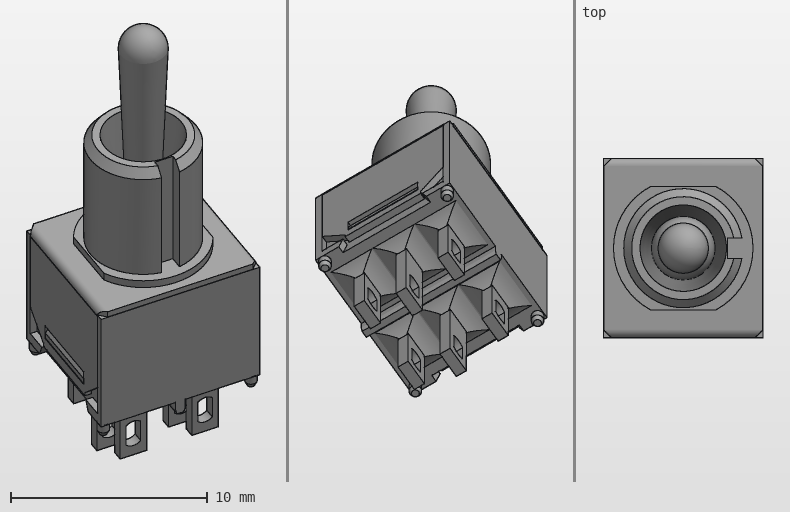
import cadquery as cq
import math

case_x = 8.13
case_y = 9.14
case_z = 7.36
sheet = 0.40
reveal = 0.02
bend_radius = 0.42
side_wall_top = case_z - 0.34
flap_half = case_x / 2 - sheet

flap_corner_z = 2.29
flap_tip_half = 2.28
flap_tip_z = 0.97
flap_bottom_z = 0.77
ledge_z = 0.61
notch_ledge_half = 2.40
notch_base_half = 2.65

window_width = 4.22
window_bottom = 1.41
window_top = 2.22
latch_edge = 1.73
latch_recess = 0.05

bushing_radius = 3.03
bushing_top = 14.48
bushing_chamfer_in = 0.41
bushing_chamfer_down = 0.50
bore_radius = 2.20
flange_radius = 3.55
flange_flats = 6.27
flange_top = case_z + 0.44
key_width = 1.03
key_floor_x = 2.25

lever_top = 21.39
head_radius = 1.28
neck_radius = 1.06
ball_radius = 1.62
head_z = lever_top - head_radius
ball_z = case_z

pitch_x = 2.54
row_y = 2.06
pin_x = 0.61
pin_y = 1.53
outer_pin_length = 3.61
centre_pin_length = 4.87

mound_depth = 0.62
mound_base_x = 1.24
mound_base_y = 1.50
mound_root_x = 0.12
mound_root_y = 0.70
mound_sag = 0.11

slot_width = 0.83
slot_length = 1.58
slot_end_rise = 0.17
slot_above_tip = 0.61

peg_diameter = 0.65
peg_straight = 0.50
peg_tip_z = -0.77
peg_tip_radius = 0.20
peg_x = 3.70
bar_width = 0.55


def make_case():
    """Block with rounded top edges, and side walls that stand slightly proud of its end flaps."""
    case = cq.Workplane("XY").box(case_x, case_y, case_z, centered=(True, True, False))
    case = case.edges("|X and >Z").fillet(bend_radius)
    face_height = case_z - bend_radius - ledge_z
    for sy in (-1, 1):
        face = cq.Workplane("XY").box(2 * flap_half, 2 * reveal, face_height, centered=(True, True, False))
        case = case.cut(face.translate((0, sy * case_y / 2, ledge_z)))
    for sx in (-1, 1):
        edge = cq.Workplane("XY").box(2 * reveal, case_y, case_z, centered=(True, True, False))
        case = case.cut(edge.translate((sx * case_x / 2, 0, side_wall_top)))
    return case


def end_pocket(outline, side):
    """Prism of an XZ outline, cut one sheet thickness into the end face at y = side * case_y / 2."""
    prism = cq.Workplane("XZ").polyline(outline).close().extrude(sheet)
    return prism.translate((0, case_y / 2 if side > 0 else sheet - case_y / 2, 0))


def cut_flap_outline(case, side):
    half_outline = [
        (flap_tip_half, flap_bottom_z),
        (flap_tip_half, flap_tip_z),
        (flap_half, flap_corner_z),
        (flap_half, ledge_z),
        (notch_ledge_half, ledge_z),
        (notch_base_half, 0),
    ]
    mirrored = [(-x, z) for x, z in reversed(half_outline)]
    return case.cut(end_pocket(half_outline + mirrored, side))


def cut_latch_window(case, side):
    face = side * case_y / 2
    section = [
        (face, window_top),
        (face - side * sheet, window_top),
        (face - side * latch_recess, latch_edge),
        (face - side * latch_recess, window_bottom),
        (face, window_bottom),
    ]
    window = cq.Workplane("YZ").polyline(section).close().extrude(window_width / 2, both=True)
    return case.cut(window)


def cut_corner_relief(case, sx, sy):
    """Mitre the corner of the top plate down to the top of the side wall."""
    x = sx * case_x / 2
    y = sy * case_y / 2
    relief = (
        cq.Workplane("XY", origin=(0, 0, side_wall_top))
        .polyline([(x, y), (x - sx * bend_radius, y), (x, y - sy * bend_radius)])
        .close()
        .extrude(case_z - side_wall_top)
    )
    return case.cut(relief)


def terminal_length(column):
    return centre_pin_length if column == 0 else outer_pin_length


def make_slot(x, y, length):
    """Slot with shallow arched ends through the terminal of the given length."""
    half = slot_width / 2
    low = slot_above_tip - length
    high = low + slot_length
    return (
        cq.Workplane("YZ", origin=(x, y, 0))
        .moveTo(-half, low + slot_end_rise)
        .threePointArc((0, low), (half, low + slot_end_rise))
        .lineTo(half, high - slot_end_rise)
        .threePointArc((0, high), (-half, high - slot_end_rise))
        .close()
        .extrude(pin_x, both=True)
    )


def mound_prism(plane, root, base, length):
    """Prism with concave flanks that narrow downwards from base to root half width."""
    middle = (root + base) / 2
    middle_z = mound_sag - mound_depth / 2
    return (
        cq.Workplane(plane)
        .moveTo(base, 0)
        .threePointArc((middle, middle_z), (root, -mound_depth))
        .lineTo(-root, -mound_depth)
        .threePointArc((-middle, middle_z), (-base, 0))
        .close()
        .extrude(length, both=True)
    )


def make_mound():
    across = mound_prism("XZ", mound_root_x, mound_base_x, mound_base_y)
    along = mound_prism("YZ", mound_root_y, mound_base_y, mound_base_x)
    return across.intersect(along)


def add_terminals(case):
    places = [(column, row) for column in (-1, 0, 1) for row in (-1, 1)]
    for column, row in places:
        pin = cq.Workplane("XY").box(pin_x, pin_y, terminal_length(column), centered=(True, True, False))
        case = case.union(pin.translate((column * pitch_x, row * row_y, -terminal_length(column))))
        case = case.union(make_mound().translate((column * pitch_x, row * row_y, 0)))
    for column, row in places:
        case = case.cut(make_slot(column * pitch_x, row * row_y, terminal_length(column)))
    return case


def make_peg():
    radius = peg_diameter / 2
    profile = [(0, 0), (radius, 0), (radius, -peg_straight), (peg_tip_radius, peg_tip_z), (0, peg_tip_z)]
    return cq.Workplane("XZ").polyline(profile).close().revolve(360, (0, 0), (0, 1))


def make_standoff_bar():
    """Ridge across the middle of the underside, from side wall to side wall."""
    half = bar_width / 2
    section = [
        (half, 0),
        (half, -peg_straight),
        (peg_tip_radius, peg_tip_z),
        (-peg_tip_radius, peg_tip_z),
        (-half, -peg_straight),
        (-half, 0),
    ]
    return cq.Workplane("YZ").polyline(section).close().extrude(case_x / 2, both=True)


def add_standoffs(case):
    peg_y = (case_y - peg_diameter) / 2
    for sx in (-1, 1):
        for sy in (-1, 1):
            case = case.union(make_peg().translate((sx * peg_x, sy * peg_y, 0)))
    return case.union(make_standoff_bar())


def make_bushing():
    flange = cq.Workplane("XY", origin=(0, 0, case_z)).circle(flange_radius).extrude(flange_top - case_z)
    flats = cq.Workplane("XY").box(2 * flange_radius, flange_flats, 2 * flange_top)
    profile = [
        (0, case_z),
        (bushing_radius, case_z),
        (bushing_radius, bushing_top - bushing_chamfer_down),
        (bushing_radius - bushing_chamfer_in, bushing_top),
        (0, bushing_top),
    ]
    barrel = cq.Workplane("XZ").polyline(profile).close().revolve(360, (0, 0), (0, 1))
    keyway = (
        cq.Workplane("XY", origin=(0, 0, flange_top))
        .rect(bushing_radius, key_width)
        .extrude(bushing_top - flange_top)
        .translate((key_floor_x + bushing_radius / 2, 0, 0))
    )
    return barrel.cut(keyway).union(flange.intersect(flats))


def make_lever_cavity():
    """Tapered bore and ball socket that hold the lever."""
    return (
        cq.Workplane("XZ")
        .moveTo(0, bushing_top)
        .lineTo(bore_radius, bushing_top)
        .lineTo(ball_radius, ball_z)
        .threePointArc(
            (ball_radius * math.sqrt(0.5), ball_z - ball_radius * math.sqrt(0.5)),
            (0, ball_z - ball_radius),
        )
        .close()
        .revolve(360, (0, 0), (0, 1))
    )


def make_housing():
    case = add_terminals(make_case())
    for sy in (-1, 1):
        case = cut_flap_outline(case, sy)
        case = cut_latch_window(case, sy)
        for sx in (-1, 1):
            case = cut_corner_relief(case, sx, sy)
    case = add_standoffs(case)
    return case.union(make_bushing()).cut(make_lever_cavity())


def make_lever():
    taper = (head_radius - neck_radius) / (head_z - bushing_top)
    root_radius = head_radius - taper * (head_z - ball_z)
    diagonal = head_radius * math.sqrt(0.5)
    stick = (
        cq.Workplane("XZ")
        .moveTo(0, ball_z)
        .lineTo(root_radius, ball_z)
        .lineTo(head_radius, head_z)
        .threePointArc((diagonal, head_z + diagonal), (0, lever_top))
        .close()
        .revolve(360, (0, 0), (0, 1))
    )
    ball = cq.Workplane("XY").sphere(ball_radius).translate((0, 0, ball_z))
    return stick.union(ball)


housing = make_housing()
lever = make_lever()

result = cq.Compound.makeCompound([housing.val(), lever.val()])